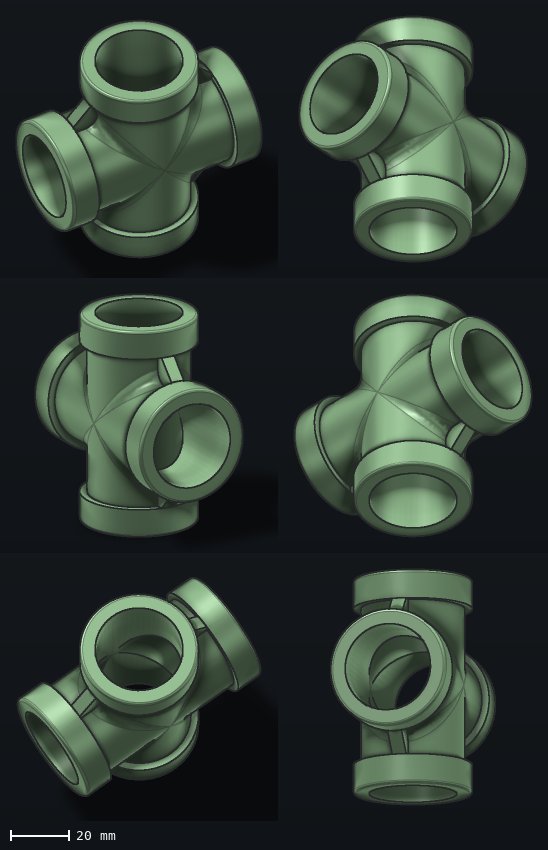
import cadquery as cq

span = 75.0
collar_diameter = 41.0
pipe_diameter = 35.85
bore_diameter = 30.2
collar_length = 10.1
rim_fillet = 1.0
crotch_fillet = 4.9
rib_width = 4.95

half_span = span / 2
collar_start = half_span - collar_length
collar_radius = collar_diameter / 2


def run_cylinder(plane, diameter):
    """Full-span cylinder along the plane normal, centred on the origin."""
    return cq.Workplane(plane).circle(diameter / 2).extrude(half_span, both=True)


def collar(plane, side):
    """Collar at one end of a run, with its outer rim rounded."""
    ring = (
        cq.Workplane(plane)
        .workplane(offset=side * collar_start)
        .circle(collar_radius)
        .extrude(side * collar_length)
    )
    outer_rim = max(ring.edges("%CIRCLE").vals(), key=lambda edge: edge.Center().Length)
    return ring.newObject([outer_rim]).fillet(rim_fillet)


def corner_rib(y_side, z_side):
    """Web filling the corner between two neighbouring collars."""
    outline = [
        (0, 0),
        (y_side * collar_start, 0),
        (y_side * collar_start, z_side * collar_radius),
        (y_side * collar_radius, z_side * collar_start),
        (0, z_side * collar_start),
    ]
    return cq.Workplane("YZ").polyline(outline).close().extrude(rib_width / 2, both=True)


run_planes = ("XY", "XZ")

result = run_cylinder("XY", pipe_diameter).union(run_cylinder("XZ", pipe_diameter))
result = result.edges("%ELLIPSE").fillet(crotch_fillet)

for plane in run_planes:
    for side in (1, -1):
        result = result.union(collar(plane, side))

for y_side in (1, -1):
    for z_side in (1, -1):
        result = result.union(corner_rib(y_side, z_side))

for plane in run_planes:
    result = result.cut(run_cylinder(plane, bore_diameter))